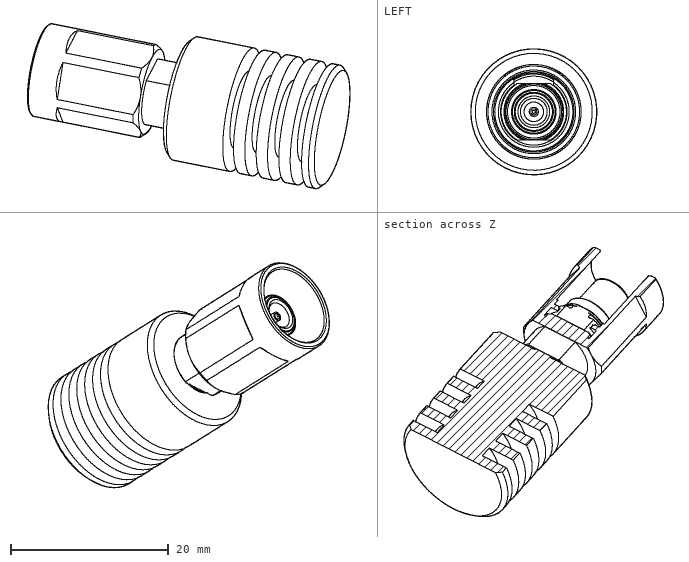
import cadquery as cq

total_length = 38.7

cut_margin = 0.4

body_start = 18.6
body_diameter = 16.0
body_radius = body_diameter / 2
body_chamfer = 0.58
fin_count = 4
fin_thickness = 1.5
groove_width = 1.5
fin_pitch = fin_thickness + groove_width
fin_root_radius = 5.0
barrel_end = 26.7

neck_radius = 4.25
neck_end_chamfer = 0.1
neck_flat_height = 3.55
undercut_radius = 3.75
undercut_width = 0.2

nut_length = 14.7
nut_radius = 6.0
nut_front_chamfer = 0.2
hex_half_width = 5.5
hex_start = 4.02
hex_runout = 0.3
nut_rear_chamfer_length = 0.58
nut_rear_radius = hex_half_width
bore_radius = 5.1
bore_mouth_chamfer = 0.2
bore_step_start = 10.05
rear_bore_radius = 4.95
bore_depth = 13.15

ledge_start = 10.85
ledge_end = 11.6
ledge_radius = 4.2
ledge_recess_radius = 4.5
ledge_recess_depth = 0.2
ledge_gap_width = 5.05

shoulder_start = 12.4
shoulder_radius = 4.8
shoulder_chamfer = 0.27
insert_start = 10.25
insert_radius = 4.15
second_step_start = 9.68
second_step_radius = 3.8
first_step_start = 9.3
first_step_radius = 3.68
collar_start = 7.75
collar_radius = 3.52
collar_chamfer = 0.2

tube_start = 2.7
tube_radius = 2.83
tube_cone_front_radius = 2.48
tube_cone_rear_radius = 2.7
tube_cone_length = 0.25
tube_tip_radius = 2.35
tube_tip_step = 0.1
tube_mouth_radius = 2.0
tube_bore_radius = 1.7
tube_mouth_depth = 0.3
tube_depth = 6.2
bead_radius = 1.25
bead_start = 5.8
pin_start = 3.2
pin_radius = 0.58
pin_tip_radius = 0.2
pin_tip_base_radius = 0.4
pin_tip_length = 0.2


def turned(profile):
    """Revolve (x, radius) points about the X axis."""
    return cq.Workplane("XY").polyline(profile).close().revolve(360, (0, 0, 0), (1, 0, 0))


def cylinder(start, end, radius):
    return turned([(start, 0), (end, 0), (end, radius), (start, radius)])


def ring(start, end, inner_radius, outer_radius):
    return turned([
        (start, inner_radius),
        (end, inner_radius),
        (end, outer_radius),
        (start, outer_radius),
    ])


def make_finned_body():
    body = cylinder(body_start, total_length, body_radius)
    body = body.faces("<X or >X").chamfer(body_chamfer)
    for fin in range(fin_count):
        fin_start = total_length - fin_thickness - fin * fin_pitch
        groove_start = max(fin_start - groove_width, barrel_end)
        body = body.cut(ring(groove_start, fin_start, fin_root_radius, body_radius))
    return body


def make_hex_cutter():
    """One cutter above the +Z flat, with a sloping front end."""
    top = nut_radius + cut_margin
    slope = hex_runout / (nut_radius - hex_half_width)
    top_start = hex_start - slope * (top - hex_half_width)
    return (
        cq.Workplane("XZ")
        .polyline([
            (hex_start, hex_half_width),
            (nut_length + cut_margin, hex_half_width),
            (nut_length + cut_margin, top),
            (top_start, top),
        ])
        .close()
        .extrude(nut_radius, both=True)
    )


def make_nut():
    nut = turned([
        (0, 0),
        (0, nut_radius - nut_front_chamfer),
        (nut_front_chamfer, nut_radius),
        (nut_length - nut_rear_chamfer_length, nut_radius),
        (nut_length, nut_rear_radius),
        (nut_length, 0),
    ])
    for side in range(6):
        nut = nut.cut(make_hex_cutter().rotate((0, 0, 0), (1, 0, 0), 60 * side))
    bore = turned([
        (0, 0),
        (0, bore_radius + bore_mouth_chamfer),
        (bore_mouth_chamfer, bore_radius),
        (bore_step_start, bore_radius),
        (bore_step_start, rear_bore_radius),
        (bore_depth, rear_bore_radius),
        (bore_depth, 0),
    ])
    return nut.cut(bore).union(make_ledge())


def make_ledge():
    outer_radius = (rear_bore_radius + hex_half_width) / 2
    ledge = ring(ledge_start, ledge_end, ledge_radius, outer_radius)
    recess_end = ledge_start + ledge_recess_depth
    ledge = ledge.cut(ring(ledge_start, recess_end, ledge_radius, ledge_recess_radius))
    gap = cq.Workplane("XY").box(
        nut_length, ledge_gap_width, rear_bore_radius, centered=(False, True, False)
    )
    return ledge.cut(gap.intersect(cylinder(0, nut_length, rear_bore_radius)))


def cut_flats(shaft):
    """Trim a shaft to the two flats on its +Z and -Z sides."""
    slab = cq.Workplane("XY").box(2 * total_length, 4 * neck_radius, 2 * neck_flat_height)
    return shaft.intersect(slab)


def make_neck():
    undercut_start = body_start - undercut_width
    neck = turned([
        (bore_depth, 0),
        (bore_depth, neck_radius),
        (undercut_start - neck_end_chamfer, neck_radius),
        (undercut_start, neck_radius - neck_end_chamfer),
        (undercut_start, 0),
    ])
    undercut = cylinder(undercut_start, body_start, undercut_radius)
    return cut_flats(neck).union(undercut)


def make_insert():
    insert = cut_flats(turned([
        (collar_start, 0),
        (collar_start, collar_radius - collar_chamfer),
        (collar_start + collar_chamfer, collar_radius),
        (first_step_start, collar_radius),
        (first_step_start, first_step_radius),
        (second_step_start, first_step_radius),
        (second_step_start, second_step_radius),
        (insert_start, second_step_radius),
        (insert_start, insert_radius),
        (shoulder_start, insert_radius),
        (shoulder_start, 0),
    ]))
    shoulder = cylinder(shoulder_start, bore_depth, shoulder_radius)
    shoulder = shoulder.faces("<X").chamfer(shoulder_chamfer)
    return insert.union(shoulder)


def make_tube():
    tip_end = tube_start + tube_tip_step
    cone_end = tip_end + tube_cone_length
    return turned([
        (tube_start, tube_mouth_radius),
        (tube_start, tube_tip_radius),
        (tip_end, tube_tip_radius),
        (tip_end, tube_cone_front_radius),
        (cone_end, tube_cone_rear_radius),
        (cone_end, tube_radius),
        (collar_start, tube_radius),
        (collar_start, 0),
        (tube_depth, 0),
        (tube_depth, tube_bore_radius),
        (tube_start + tube_mouth_depth, tube_bore_radius),
    ])


def make_pin():
    bead = cylinder(bead_start, tube_depth, bead_radius)
    pin = turned([
        (pin_start, 0),
        (pin_start, pin_tip_radius),
        (pin_start + pin_tip_length, pin_tip_base_radius),
        (pin_start + pin_tip_length, pin_radius),
        (tube_depth, pin_radius),
        (tube_depth, 0),
    ])
    return pin.union(bead)


result = make_finned_body()
for piece in (make_neck(), make_nut(), make_insert(), make_tube(), make_pin()):
    result = result.union(piece)